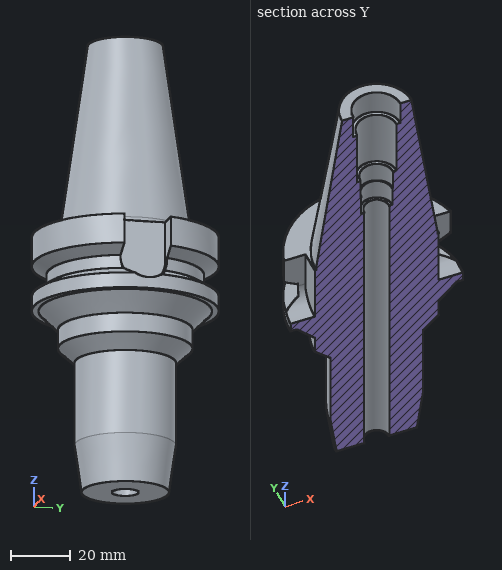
import cadquery as cq

total_length = 155.1

taper_top_radius = 12.7
gauge_radius = 22.2
gauge_height = 90.0

flange_radius = 31.5
flange_top = 88.5
groove_radius = 26.5
groove_upper_edge = 78.5
groove_floor_top = 75.5
groove_floor_bottom = 71.0
groove_lower_edge = 68.1
flange_bottom = 63.0

flange_cone_radius = 29.2
collar_radius = 22.6
collar_top = 56.5
collar_bottom = 50.0
nose_cone_top = 45.0
nose_radius = 17.0
tip_cone_height = 16.3
tip_radius = 14.7

slot_half_width = 8.0
slot_bottom = 66.7
slot_floor_distance = 22.6

bore_steps = [(8.5, 9.2), (7.1, 31.0), (5.9, 38.8), (5.6, 46.5)]
through_radius = 4.5


def make_body():
    """Revolve the outer half profile about Z."""
    profile = [
        (0, 0),
        (tip_radius, 0),
        (nose_radius, tip_cone_height),
        (nose_radius, nose_cone_top),
        (collar_radius, collar_bottom),
        (collar_radius, collar_top),
        (flange_cone_radius, flange_bottom),
        (flange_radius, flange_bottom),
        (flange_radius, groove_lower_edge),
        (groove_radius, groove_floor_bottom),
        (groove_radius, groove_floor_top),
        (flange_radius, groove_upper_edge),
        (flange_radius, flange_top),
        (gauge_radius, flange_top),
        (gauge_radius, gauge_height),
        (taper_top_radius, total_length),
        (0, total_length),
    ]
    return cq.Workplane("XZ").polyline(profile).close().revolve(360, (0, 0), (0, 1))


def make_drive_slot(side):
    """Round-bottomed slot, open outwards and upwards, on the +X (1) or -X (-1) side."""
    arc_height = slot_bottom + slot_half_width
    slot_depth = flange_radius - slot_floor_distance
    return (
        cq.Workplane("YZ", origin=(side * slot_floor_distance, 0, 0))
        .moveTo(-slot_half_width, flange_top)
        .lineTo(-slot_half_width, arc_height)
        .threePointArc((0, slot_bottom), (slot_half_width, arc_height))
        .lineTo(slot_half_width, flange_top)
        .close()
        .extrude(side * slot_depth)
    )


def make_bore():
    """Through hole with wider steps entering from the top face."""
    bore = cq.Workplane("XY").circle(through_radius).extrude(total_length)
    for radius, depth in bore_steps:
        step = cq.Workplane("XY", origin=(0, 0, total_length - depth)).circle(radius).extrude(depth)
        bore = bore.union(step)
    return bore


result = make_body().cut(make_bore())
for slot_side in (-1, 1):
    result = result.cut(make_drive_slot(slot_side))